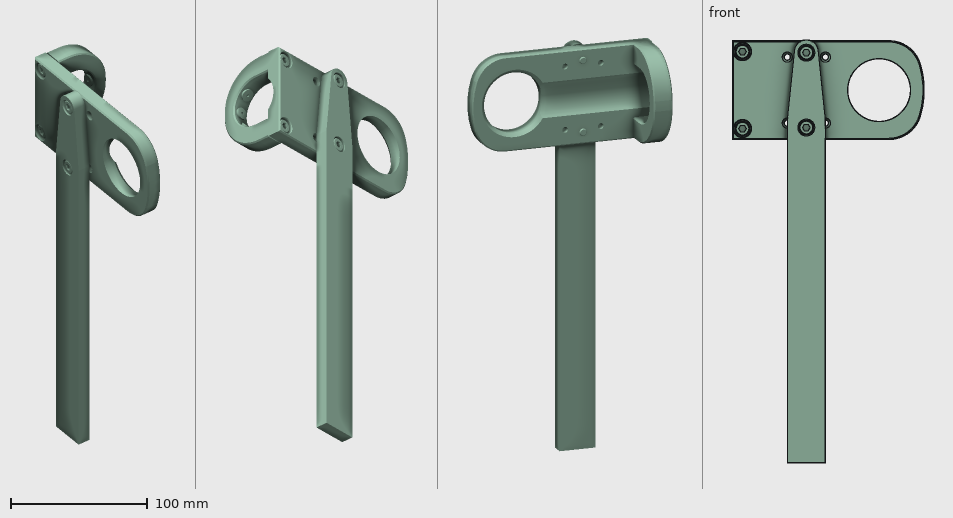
import cadquery as cq
import math

ARM_HEIGHT = 309.0

PLATE_LENGTH = 140.3
PLATE_TOP = 308.5
PLATE_HEIGHT = 72.3
PLATE_THICKNESS = 11.5
PLATE_END_RADIUS = 65.0
PLATE_CORNER_RADIUS = 24.0
EDGE_CHAMFER = 1.0
LARGE_HOLE_X = 107.2
LARGE_HOLE_RADIUS = 23.0
LARGE_HOLE_BACK_CHAMFER = 2.8
SMALL_HOLE_RADIUS = 2.2
SMALL_HOLE_MOUTH_RADIUS = 3.7
SMALL_HOLE_SPACING_X = 27.8
SMALL_HOLE_SPACING_Z = 48.2
GROOVE_RADIUS = 19.2

ARM_X = 54.0
ARM_WIDTH = 27.8
ARM_THICKNESS = 10.0
ARM_TOP_RADIUS = 8.5
ARM_TAPER_LENGTH = 58.7

RING_WIDTH = 14.8
RING_REACH = 43.5
RING_END_RADIUS = 77.3
RING_CORNER_RADIUS = 34.0
WINDOW_RADIUS = 20.0
WINDOW_CENTER_ABOVE_PLATE = 13.5

HEAD_RADIUS = 5.3
HEAD_HEIGHT = 5.3
HEAD_CHAMFER = 0.5
PLATE_HEAD_TOP = 1.2
ARM_HEAD_SUNK = 0.5
SHANK_RADIUS = 2.8
TIP_CHAMFER = 0.5
SOCKET_RADIUS = 2.8
SOCKET_DEPTH = 2.8
COUNTERBORE_RADIUS = 6.2
PLATE_SEAT_CHAMFER = 0.45
PLATE_SCREW_SPACING = 56.3
ARM_SCREW_SPACING = 54.7
ARM_SCREW_STICK_OUT = 1.0
RING_SCREW_GRIP = 12.5

PAD_RADIUS = 4.5
PAD_LENGTH = 7.5
PAD_STICK_OUT = 2.0
PAD_SOCKET_RADIUS = 1.08
PAD_SOCKET_DEPTH = 1.5
PAD_ANGLES = (-45, 0, 45)

MID_Z = PLATE_TOP - PLATE_HEIGHT / 2
RING_MID_X = RING_WIDTH / 2
WINDOW_Y = PLATE_THICKNESS + WINDOW_CENTER_ABOVE_PLATE
PLATE_SCREW_HEIGHTS = (MID_Z - PLATE_SCREW_SPACING / 2, MID_Z + PLATE_SCREW_SPACING / 2)
ARM_SCREW_HEIGHTS = (MID_Z - ARM_SCREW_SPACING / 2, MID_Z + ARM_SCREW_SPACING / 2)
ARM_FRONT = -ARM_THICKNESS
ARM_HEAD_TOP = ARM_FRONT + ARM_HEAD_SUNK
SEAT_MOUTH_RADIUS = COUNTERBORE_RADIUS + PLATE_SEAT_CHAMFER
PAD_FACE = WINDOW_RADIUS - PAD_STICK_OUT
PAD_END = PAD_FACE + PAD_LENGTH
RING_SCREW_TIP = PLATE_THICKNESS + RING_SCREW_GRIP
ARM_SCREW_TIP = PLATE_THICKNESS + ARM_SCREW_STICK_OUT


def y_cylinder(x, z, radius, start, end):
    """Cylinder along Y between two Y positions."""
    return cq.Workplane(cq.Solid.makeCylinder(radius, end - start, cq.Vector(x, start, z), cq.Vector(0, 1, 0)))


def y_cone(x, z, start_radius, end_radius, start, end):
    """Cone along Y between two Y positions."""
    return cq.Workplane(
        cq.Solid.makeCone(start_radius, end_radius, end - start, cq.Vector(x, start, z), cq.Vector(0, 1, 0))
    )


def bulged_outline(plane, reach, half_height, end_radius, corner_radius):
    """Rectangle whose far end is a shallow arc blended into the sides by corner arcs."""
    core_radius = end_radius - corner_radius
    corner_v = half_height - corner_radius
    corner_u = reach - end_radius + math.sqrt(core_radius**2 - corner_v**2)
    end_angle = math.asin(corner_v / core_radius)
    blend_u = reach - end_radius + end_radius * math.cos(end_angle)
    blend_v = end_radius * math.sin(end_angle)
    mid_angle = (end_angle + math.pi / 2) / 2
    mid_u = corner_u + corner_radius * math.cos(mid_angle)
    mid_v = corner_v + corner_radius * math.sin(mid_angle)
    return (
        cq.Workplane(plane)
        .moveTo(0, -half_height)
        .lineTo(corner_u, -half_height)
        .threePointArc((mid_u, -mid_v), (blend_u, -blend_v))
        .threePointArc((reach, 0), (blend_u, blend_v))
        .threePointArc((mid_u, mid_v), (corner_u, half_height))
        .lineTo(0, half_height)
        .close()
    )


def socket_screw(x, z, head_top, tip):
    """Socket head screw along +Y."""
    head_base = head_top + HEAD_HEIGHT
    head = y_cylinder(x, z, HEAD_RADIUS, head_top, head_base).faces("<Y").chamfer(HEAD_CHAMFER)
    shank = y_cylinder(x, z, SHANK_RADIUS, head_base, tip).faces(">Y").chamfer(TIP_CHAMFER)
    socket_plane = cq.Plane((x, head_top, z), xDir=(1, 0, 0), normal=(0, 1, 0))
    socket = cq.Workplane(socket_plane).polygon(6, 2 * SOCKET_RADIUS).extrude(SOCKET_DEPTH)
    return head.union(shank).cut(socket)


def screw_seat(x, z, face, head_top, tip):
    """Counterbore from a front face to the underside of a screw head, with the shank hole behind it."""
    floor = head_top + HEAD_HEIGHT
    bore = y_cylinder(x, z, COUNTERBORE_RADIUS, face, floor)
    return bore.union(y_cylinder(x, z, SHANK_RADIUS, floor, tip))


def pad_cylinder(angle, radius, inner, outer):
    """Cylinder radial to the window, between two distances from its centre."""
    direction = cq.Vector(0, math.cos(math.radians(angle)), math.sin(math.radians(angle)))
    start = cq.Vector(RING_MID_X, WINDOW_Y, MID_Z) + direction * inner
    return cq.Workplane(cq.Solid.makeCylinder(radius, outer - inner, start, direction))


def make_plate():
    plane = cq.Plane((0, 0, MID_Z), xDir=(1, 0, 0), normal=(0, -1, 0))
    plate = bulged_outline(plane, PLATE_LENGTH, PLATE_HEIGHT / 2, PLATE_END_RADIUS, PLATE_CORNER_RADIUS)
    plate = plate.extrude(-PLATE_THICKNESS)
    plate = plate.faces("<Y").edges().chamfer(EDGE_CHAMFER)
    plate = plate.faces(">Y").edges("not <X").chamfer(EDGE_CHAMFER)
    plate = plate.cut(y_cylinder(LARGE_HOLE_X, MID_Z, LARGE_HOLE_RADIUS, 0, PLATE_THICKNESS))
    chamfer_start = PLATE_THICKNESS - LARGE_HOLE_BACK_CHAMFER
    back_radius = LARGE_HOLE_RADIUS + LARGE_HOLE_BACK_CHAMFER
    plate = plate.cut(
        y_cone(LARGE_HOLE_X, MID_Z, LARGE_HOLE_RADIUS, back_radius, chamfer_start, PLATE_THICKNESS)
    )
    sink_depth = SMALL_HOLE_MOUTH_RADIUS - SMALL_HOLE_RADIUS
    for x in (ARM_X - SMALL_HOLE_SPACING_X / 2, ARM_X + SMALL_HOLE_SPACING_X / 2):
        for z in (MID_Z - SMALL_HOLE_SPACING_Z / 2, MID_Z + SMALL_HOLE_SPACING_Z / 2):
            plate = plate.cut(y_cylinder(x, z, SMALL_HOLE_RADIUS, 0, PLATE_THICKNESS))
            plate = plate.cut(y_cone(x, z, SMALL_HOLE_MOUTH_RADIUS, SMALL_HOLE_RADIUS, 0, sink_depth))
    for z in PLATE_SCREW_HEIGHTS:
        plate = plate.cut(screw_seat(RING_MID_X, z, 0, PLATE_HEAD_TOP, PLATE_THICKNESS))
        plate = plate.cut(
            y_cone(RING_MID_X, z, SEAT_MOUTH_RADIUS, COUNTERBORE_RADIUS, 0, PLATE_SEAT_CHAMFER)
        )
    for z in ARM_SCREW_HEIGHTS:
        plate = plate.cut(y_cylinder(ARM_X, z, SHANK_RADIUS, 0, PLATE_THICKNESS))
    groove = cq.Solid.makeCylinder(
        GROOVE_RADIUS, LARGE_HOLE_X, cq.Vector(0, WINDOW_Y, MID_Z), cq.Vector(1, 0, 0)
    )
    return plate.cut(cq.Workplane(groove))


def make_arm():
    half_width = ARM_WIDTH / 2
    arc_z = ARM_HEIGHT - ARM_TOP_RADIUS
    shoulder_z = ARM_HEIGHT - ARM_TAPER_LENGTH
    drop = arc_z - shoulder_z
    touch_angle = math.acos(ARM_TOP_RADIUS / math.hypot(half_width, drop)) - math.atan2(drop, half_width)
    touch_x = ARM_TOP_RADIUS * math.cos(touch_angle)
    touch_z = arc_z + ARM_TOP_RADIUS * math.sin(touch_angle)
    plane = cq.Plane((ARM_X, 0, 0), xDir=(1, 0, 0), normal=(0, -1, 0))
    arm = (
        cq.Workplane(plane)
        .moveTo(-half_width, 0)
        .lineTo(half_width, 0)
        .lineTo(half_width, shoulder_z)
        .lineTo(touch_x, touch_z)
        .threePointArc((0, ARM_HEIGHT), (-touch_x, touch_z))
        .lineTo(-half_width, shoulder_z)
        .close()
        .extrude(ARM_THICKNESS)
    )
    for z in ARM_SCREW_HEIGHTS:
        arm = arm.cut(screw_seat(ARM_X, z, ARM_FRONT, ARM_HEAD_TOP, 0))
    return arm


def make_ring():
    plane = cq.Plane((0, PLATE_THICKNESS, MID_Z), xDir=(0, 1, 0), normal=(1, 0, 0))
    ring = bulged_outline(plane, RING_REACH, PLATE_HEIGHT / 2, RING_END_RADIUS, RING_CORNER_RADIUS)
    ring = ring.extrude(RING_WIDTH)
    window = (
        cq.Workplane(plane)
        .moveTo(0, -WINDOW_RADIUS)
        .lineTo(WINDOW_CENTER_ABOVE_PLATE, -WINDOW_RADIUS)
        .threePointArc(
            (WINDOW_CENTER_ABOVE_PLATE + WINDOW_RADIUS, 0),
            (WINDOW_CENTER_ABOVE_PLATE, WINDOW_RADIUS),
        )
        .lineTo(0, WINDOW_RADIUS)
        .close()
        .extrude(RING_WIDTH)
    )
    ring = ring.cut(window)
    ring = ring.faces("<X or >X").edges("not <Y").chamfer(EDGE_CHAMFER)
    for z in PLATE_SCREW_HEIGHTS:
        ring = ring.cut(y_cylinder(RING_MID_X, z, SHANK_RADIUS, PLATE_THICKNESS, RING_SCREW_TIP))
    for angle in PAD_ANGLES:
        ring = ring.cut(pad_cylinder(angle, PAD_RADIUS, PAD_FACE, PAD_END))
    return ring


def make_pad(angle):
    """Round clamp pad with a small socket in its inner face."""
    socket = pad_cylinder(angle, PAD_SOCKET_RADIUS, PAD_FACE, PAD_FACE + PAD_SOCKET_DEPTH)
    return pad_cylinder(angle, PAD_RADIUS, PAD_FACE, PAD_END).cut(socket)


plate = make_plate()
arm = make_arm()
ring = make_ring()
plate_screws = [socket_screw(RING_MID_X, z, PLATE_HEAD_TOP, RING_SCREW_TIP) for z in PLATE_SCREW_HEIGHTS]
arm_screws = [socket_screw(ARM_X, z, ARM_HEAD_TOP, ARM_SCREW_TIP) for z in ARM_SCREW_HEIGHTS]
pads = [make_pad(angle) for angle in PAD_ANGLES]

bodies = [plate, arm, ring, *plate_screws, *arm_screws, *pads]
result = cq.Compound.makeCompound([body.val() for body in bodies])